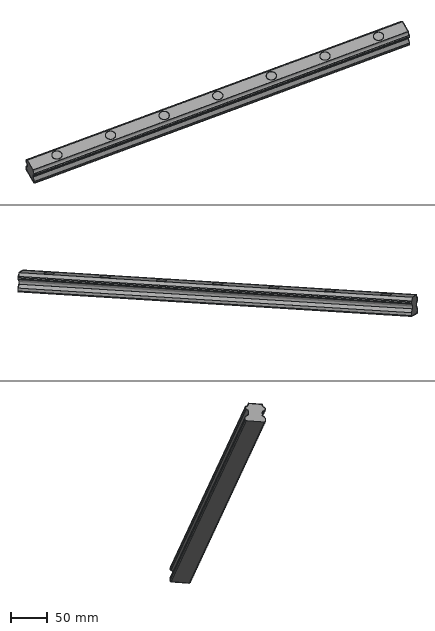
import cadquery as cq

rail_width = 28.0
rail_length = 560.0
rail_height = 26.0
half_width = rail_width / 2

base_chamfer = 1.5
flange_top = 5.5
waist_half_width = 9.5
waist_bottom = flange_top + (half_width - waist_half_width)
waist_top = 13.75

top_half_width = 9.5
nose_center = 19.25
nose_half_height = 0.85
nose_bevel = 1.3
raceway_radius = 4.5
bevel_half_width = half_width - nose_bevel
bevel_half_height = nose_half_height + nose_bevel

hole_diameter = 14.0
hole_pitch = 80.0
hole_count = 7
cap_recess = 0.1


def half_profile():
    """Closed outline of the +X half of the cross-section, from the base up to the top face."""
    return (
        cq.Workplane("XZ")
        .lineTo(half_width - base_chamfer, 0)
        .lineTo(half_width, base_chamfer)
        .lineTo(half_width, flange_top)
        .lineTo(waist_half_width, waist_bottom)
        .lineTo(waist_half_width, waist_top)
        .radiusArc((bevel_half_width, nose_center - bevel_half_height), raceway_radius)
        .lineTo(half_width, nose_center - nose_half_height)
        .lineTo(half_width, nose_center + nose_half_height)
        .lineTo(bevel_half_width, nose_center + bevel_half_height)
        .radiusArc((top_half_width, rail_height), raceway_radius)
        .lineTo(0, rail_height)
        .close()
    )


def rail_body():
    """Symmetric rail section extruded along Y and centred on the origin."""
    half_body = half_profile().extrude(rail_length / 2, both=True)
    return half_body.union(half_body.mirror("YZ")).clean()


def cap_recesses():
    """Shallow round recesses left above the hole caps, evenly spaced along the rail."""
    return (
        cq.Workplane("XY", origin=(0, 0, rail_height - cap_recess))
        .rarray(1, hole_pitch, 1, hole_count)
        .circle(hole_diameter / 2)
        .extrude(cap_recess)
    )


result = rail_body().cut(cap_recesses())